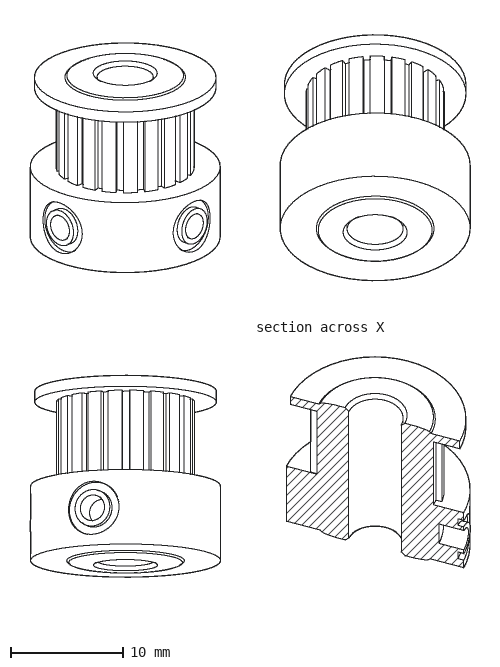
import cadquery as cq

total_height = 16.15
hub_diameter = 16.95
flange_diameter = 16.2
toothed_diameter = 12.34
bore_diameter = 5.0

boss_height = 0.4
hub_height = 6.75
flange_thickness = 1.0
hub_top = boss_height + hub_height
flange_top = total_height - boss_height
flange_bottom = flange_top - flange_thickness

bottom_boss_diameter = 10.5
top_boss_diameter = 10.75
dome_steps = [(0, boss_height), (0.17, 0.24), (0.4, 0.14), (0.73, 0.076), (1.47, 0)]
bore_chamfer = 0.35

groove_count = 20
groove_width = 0.66
groove_depth = 0.6
groove_offset = 0.29

screw_height = boss_height + hub_height / 2
screw_directions = (-90, 0)
recess_diameter = 4.8
recess_floor_radius = 7.92
screw_diameter = 3.3
screw_socket_diameter = 2.3
screw_socket_depth = 2.37

cut_clearance = 0.17


def disc(diameter, bottom, top):
    return cq.Workplane("XY").workplane(offset=bottom).circle(diameter / 2).extrude(top - bottom)


def domed_boss(base_diameter, end, inward):
    """Boss with its flat face at height end; inward is the Z sense from that face into the part."""
    outline = [(base_diameter / 2 - inset, end + inward * drop) for inset, drop in dome_steps]
    profile = cq.Workplane("XZ").polyline([*outline, (0, end), (0, outline[0][1])]).close()
    return profile.revolve(360, (0, 0, 0), (0, 1, 0))


def belt_groove(angle):
    """Straight-sided groove parallel to a radius but lying mostly to one side of it."""
    floor_radius = toothed_diameter / 2 - groove_depth
    cutter = cq.Workplane("XY").box(
        groove_depth + cut_clearance, groove_width, flange_bottom - hub_top, centered=(False, True, False)
    )
    return cutter.translate((floor_radius, groove_offset, hub_top)).rotate((0, 0, 0), (0, 0, 1), angle)


def radial_cylinder(diameter, inner_radius, outer_radius, angle):
    plane = cq.Workplane("YZ").workplane(offset=inner_radius).center(0, screw_height)
    cylinder = plane.circle(diameter / 2).extrude(outer_radius - inner_radius)
    return cylinder.rotate((0, 0, 0), (0, 0, 1), angle)


body = (
    disc(hub_diameter, boss_height, hub_top)
    .union(disc(toothed_diameter, hub_top, flange_bottom))
    .union(disc(flange_diameter, flange_bottom, flange_top))
    .union(domed_boss(bottom_boss_diameter, 0, 1))
    .union(domed_boss(top_boss_diameter, total_height, -1))
)

for index in range(groove_count):
    body = body.cut(belt_groove(index * 360 / groove_count))

hub_radius = hub_diameter / 2
for direction in screw_directions:
    recess = radial_cylinder(recess_diameter, recess_floor_radius, hub_radius + cut_clearance, direction)
    body = body.cut(recess)
    body = body.union(radial_cylinder(screw_diameter, recess_floor_radius, hub_radius, direction))
    socket_floor_radius = hub_radius - screw_socket_depth
    body = body.cut(radial_cylinder(screw_socket_diameter, socket_floor_radius, hub_radius, direction))

body = body.cut(disc(bore_diameter, 0, total_height))
bore_rims = body.faces("<Z or >Z").edges(cq.selectors.RadiusNthSelector(0))
result = bore_rims.chamfer(bore_chamfer)